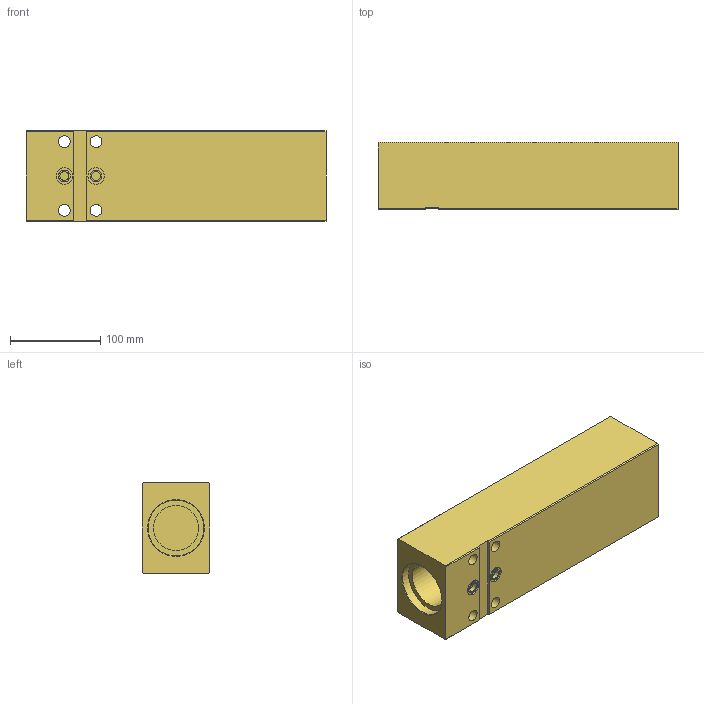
import cadquery as cq

length = 332.0
width = 75.0
height = 100.0
edge_chamfer = 1.0

bore_diameter = 50.0
counterbore_diameter = 61.8
counterbore_depth = 10.0
counterbore_chamfer = 0.55
end_wall = 25.0

groove_centre_x = 60.0
groove_width = 15.0
groove_depth = 2.0
hole_spacing_x = 35.0
hole_spacing_z = 76.0
mounting_hole_diameter = 13.0

port_diameter = 10.0
port_depth = 5.0
seal_inner_diameter = 13.0
seal_outer_diameter = 18.0
seal_depth = 1.4

front_y = -width / 2
hole_columns = [groove_centre_x - hole_spacing_x / 2, groove_centre_x + hole_spacing_x / 2]
hole_rows = [-hole_spacing_z / 2, hole_spacing_z / 2]


def make_block():
    block = cq.Workplane("XY").box(length, width, height, centered=(False, True, True))
    return block.edges("|X").chamfer(edge_chamfer)


def cylinder_along_x(diameter, depth):
    return cq.Workplane("YZ").circle(diameter / 2).extrude(depth)


def cylinder_from_front(x, z, diameter, depth):
    axis_start = cq.Vector(x, front_y, z)
    return cq.Workplane(cq.Solid.makeCylinder(diameter / 2, depth, axis_start, cq.Vector(0, 1, 0)))


def make_bore():
    bore = cylinder_along_x(bore_diameter, length - end_wall)
    counterbore = cylinder_along_x(counterbore_diameter, counterbore_depth)
    mouth_radius = counterbore_diameter / 2 + counterbore_chamfer
    mouth = cq.Workplane(cq.Solid.makeCone(
        mouth_radius, counterbore_diameter / 2, counterbore_chamfer,
        cq.Vector(0, 0, 0), cq.Vector(1, 0, 0),
    ))
    return bore.union(counterbore).union(mouth)


def make_groove():
    groove = cq.Workplane("XY").box(groove_width, groove_depth, height, centered=(True, False, True))
    return groove.translate((groove_centre_x, front_y, 0))


def make_port(x):
    port = cylinder_from_front(x, 0, port_diameter, port_depth)
    seal_disc = cylinder_from_front(x, 0, seal_outer_diameter, seal_depth)
    seal_core = cylinder_from_front(x, 0, seal_inner_diameter, seal_depth)
    return seal_disc.cut(seal_core).union(port)


result = make_block().cut(make_bore()).cut(make_groove())
for column_x in hole_columns:
    result = result.cut(make_port(column_x))
    for row_z in hole_rows:
        result = result.cut(cylinder_from_front(column_x, row_z, mounting_hole_diameter, width))